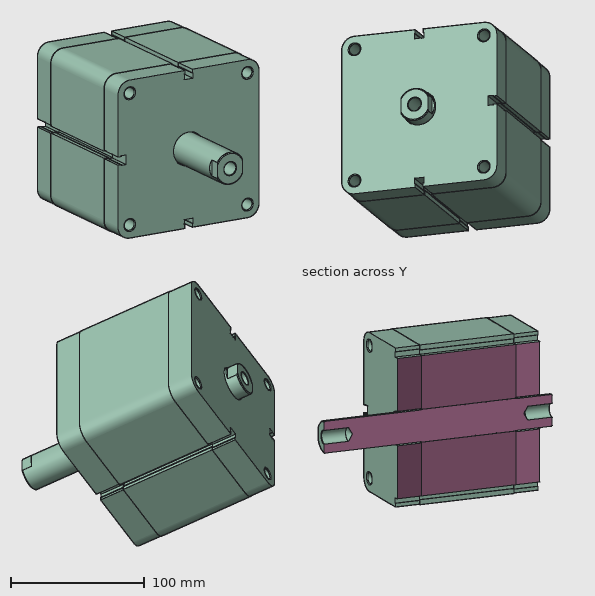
import cadquery as cq
import math


CAP_LENGTH = 19.8
TUBE_LENGTH = 77.0
REAR_CAP_START = CAP_LENGTH + TUBE_LENGTH

TUBE_SIDE = 124.0
CAP_SIDE = 123.5
BOLT_SPACING = 102.8

BOLT_HOLE_DIAMETER = 8.6
BOLT_CHAMFER = 0.7

SLOT_FLOOR = CAP_SIDE / 2 - 7.1
CAP_SLOT_MOUTH = 6.4
CAP_SLOT_LIP = 3.0
TUBE_SLOT_MOUTH = 5.5
TUBE_SLOT_LIP = 4.0
SLOT_UNDERCUT = 0.5
SLOT_ANGLES = (0, 90, 180)

ROD_LENGTH = 187.0
ROD_FRONT_OVERHANG = 10.3
ROD_DIAMETER = 25.0
ROD_END_CHAMFER = 0.7
ROD_CLEARANCE_DIAMETER = 26.4

FLAT_ACROSS = 21.7
FLAT_LENGTH = 8.6
FLAT_RUNOUT_ANGLE = 15

BORE_DIAMETER = 10.3
BORE_DEPTH = 20.0
BORE_CHAMFER = 0.4
DRILL_POINT_ANGLE = 118


def square_block(start, length, side):
    """Square bar along X with its long edges rounded about the bolt centres."""
    corner_radius = (side - BOLT_SPACING) / 2
    return (
        cq.Workplane("YZ", origin=(start, 0, 0))
        .rect(side, side)
        .extrude(length)
        .edges("|X")
        .fillet(corner_radius)
    )


def t_slots(start, length, side, mouth, lip):
    """Cutters for the T-slots of a block, opening on its top, -Y side and bottom."""
    half_mouth = mouth / 2
    half_cavity = half_mouth + SLOT_UNDERCUT
    surface = side / 2
    cutter = (
        cq.Workplane("YZ", origin=(start, 0, 0))
        .moveTo(-half_cavity, SLOT_FLOOR)
        .lineTo(half_cavity, SLOT_FLOOR)
        .lineTo(half_cavity, surface - lip)
        .lineTo(half_mouth, surface - lip)
        .lineTo(half_mouth, surface)
        .lineTo(-half_mouth, surface)
        .lineTo(-half_mouth, surface - lip)
        .lineTo(-half_cavity, surface - lip)
        .close()
        .extrude(length)
    )
    return [cutter.rotate((0, 0, 0), (1, 0, 0), angle) for angle in SLOT_ANGLES]


def bolt_holes(start, length):
    """Four bolt hole cutters along X."""
    return (
        cq.Workplane("YZ", origin=(start, 0, 0))
        .rect(BOLT_SPACING, BOLT_SPACING, forConstruction=True)
        .vertices()
        .circle(BOLT_HOLE_DIAMETER / 2)
        .extrude(length)
    )


def bolt_chamfers(face_x, inward):
    """Four conical cutters that chamfer the bolt holes at a cap's outer face."""
    hole_radius = BOLT_HOLE_DIAMETER / 2
    half_spacing = BOLT_SPACING / 2
    cones = []
    for y in (-half_spacing, half_spacing):
        for z in (-half_spacing, half_spacing):
            cone = cq.Solid.makeCone(
                hole_radius + BOLT_CHAMFER, hole_radius, BOLT_CHAMFER,
                cq.Vector(face_x, y, z), cq.Vector(inward, 0, 0),
            )
            cones.append(cq.Workplane(cone))
    return cones


def cylinder_on_axis(start, length, diameter):
    """Round bar on the X axis: the rod itself, or the cutter for a hole round it."""
    return cq.Workplane("YZ", origin=(start, 0, 0)).circle(diameter / 2).extrude(length)


def make_cap(start, outer_face_x, inward):
    """End cap; inward is the X direction from its outer face to the tube."""
    cap = square_block(start, CAP_LENGTH, CAP_SIDE)
    for slot in t_slots(start, CAP_LENGTH, CAP_SIDE, CAP_SLOT_MOUTH, CAP_SLOT_LIP):
        cap = cap.cut(slot)
    cap = cap.cut(bolt_holes(start, CAP_LENGTH))
    for cone in bolt_chamfers(outer_face_x, inward):
        cap = cap.cut(cone)
    return cap.cut(cylinder_on_axis(start, CAP_LENGTH, ROD_CLEARANCE_DIAMETER))


def make_tube():
    """Square tube between the caps, fitting closely round the rod."""
    tube = square_block(CAP_LENGTH, TUBE_LENGTH, TUBE_SIDE)
    for slot in t_slots(CAP_LENGTH, TUBE_LENGTH, TUBE_SIDE, TUBE_SLOT_MOUTH, TUBE_SLOT_LIP):
        tube = tube.cut(slot)
    tube = tube.cut(bolt_holes(CAP_LENGTH, TUBE_LENGTH))
    return tube.cut(cylinder_on_axis(CAP_LENGTH, TUBE_LENGTH, ROD_DIAMETER))


def flat_cutter():
    """Cutter for the flat on the +Y side of the front rod end, with a leaning end face."""
    flat_y = FLAT_ACROSS / 2
    rod_radius = ROD_DIAMETER / 2
    flat_end = -ROD_FRONT_OVERHANG + FLAT_LENGTH
    runout = (rod_radius - flat_y) * math.tan(math.radians(FLAT_RUNOUT_ANGLE))
    return (
        cq.Workplane("XY")
        .moveTo(-ROD_FRONT_OVERHANG, flat_y)
        .lineTo(flat_end, flat_y)
        .lineTo(flat_end + runout, rod_radius)
        .lineTo(-ROD_FRONT_OVERHANG, rod_radius)
        .close()
        .extrude(rod_radius, both=True)
    )


def bore_cutter():
    """Cutter for the chamfered blind hole with a drill point in the front rod end."""
    radius = BORE_DIAMETER / 2
    point_length = radius / math.tan(math.radians(DRILL_POINT_ANGLE / 2))
    return (
        cq.Workplane("XY", origin=(-ROD_FRONT_OVERHANG, 0, 0))
        .lineTo(0, radius + BORE_CHAMFER)
        .lineTo(BORE_CHAMFER, radius)
        .lineTo(BORE_DEPTH, radius)
        .lineTo(BORE_DEPTH + point_length, 0)
        .close()
        .revolve(360, (0, 0, 0), (1, 0, 0))
    )


def make_rod():
    """Through rod with the same flats, hole and chamfer on both ends."""
    rod = cylinder_on_axis(-ROD_FRONT_OVERHANG, ROD_LENGTH, ROD_DIAMETER)
    rod = rod.faces("<X or >X").chamfer(ROD_END_CHAMFER)
    rod_middle = (ROD_LENGTH / 2 - ROD_FRONT_OVERHANG, 0, 0)
    flat = flat_cutter()
    front_cutters = [flat, flat.mirror("XZ"), bore_cutter()]
    for cutter in front_cutters:
        rod = rod.cut(cutter)
        rod = rod.cut(cutter.mirror("YZ", rod_middle))
    return rod


front_cap = make_cap(0, 0, 1)
rear_cap = make_cap(REAR_CAP_START, REAR_CAP_START + CAP_LENGTH, -1)
tube = make_tube()
rod = make_rod()

result = cq.Compound.makeCompound([front_cap.val(), tube.val(), rear_cap.val(), rod.val()])